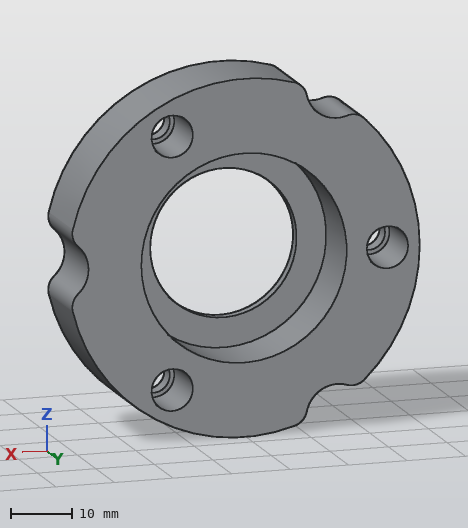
import cadquery as cq

disc_radius = 30.0
thickness = 13.0

lip_radius = 12.5
lip_depth = 2.0
bore_radius = 17.5

hole_circle_radius = 24.5
hole_diameter = 5.5
seat_depth = 3.0
counterbore_diameter = 7.0

notch_count = 3
notch_radius = 5.3
notch_circle_radius = 31.8
notch_fillet_radius = 3.0

pitch_angle = 360.0 / notch_count
notch_angles = [i * pitch_angle for i in range(notch_count)]
hole_angles = [angle + pitch_angle / 2 for angle in notch_angles]


def cylinder(radius, start, end):
    """Cylinder on the disc axis, from depth start to depth end along Y."""
    return cq.Workplane("XZ", origin=(0, start, 0)).circle(radius).extrude(start - end)


def stepped_cylinder(front_radius, step_depth, back_radius):
    """Full-depth cutter that changes radius at the step depth."""
    front = cylinder(front_radius, 0, step_depth)
    return front.union(cylinder(back_radius, step_depth, thickness))


def cut_around_axis(body, cutter, distance, angles):
    """Cut the cutter from the body at each angle, at a distance from the axis."""
    for angle in angles:
        placed = cutter.translate((distance, 0, 0)).rotate((0, 0, 0), (0, 1, 0), angle)
        body = body.cut(placed)
    return body


def notched_disc():
    """Disc with rim notches whose outer corners are rounded."""
    disc = cylinder(disc_radius, 0, thickness)
    notch = cylinder(notch_radius, 0, thickness)
    disc = cut_around_axis(disc, notch, notch_circle_radius, notch_angles)
    return disc.edges("|Y").fillet(notch_fillet_radius)


bore = stepped_cylinder(lip_radius, lip_depth, bore_radius)
screw_hole = stepped_cylinder(hole_diameter / 2, seat_depth, counterbore_diameter / 2)

result = notched_disc().cut(bore)
result = cut_around_axis(result, screw_hole, hole_circle_radius, hole_angles)